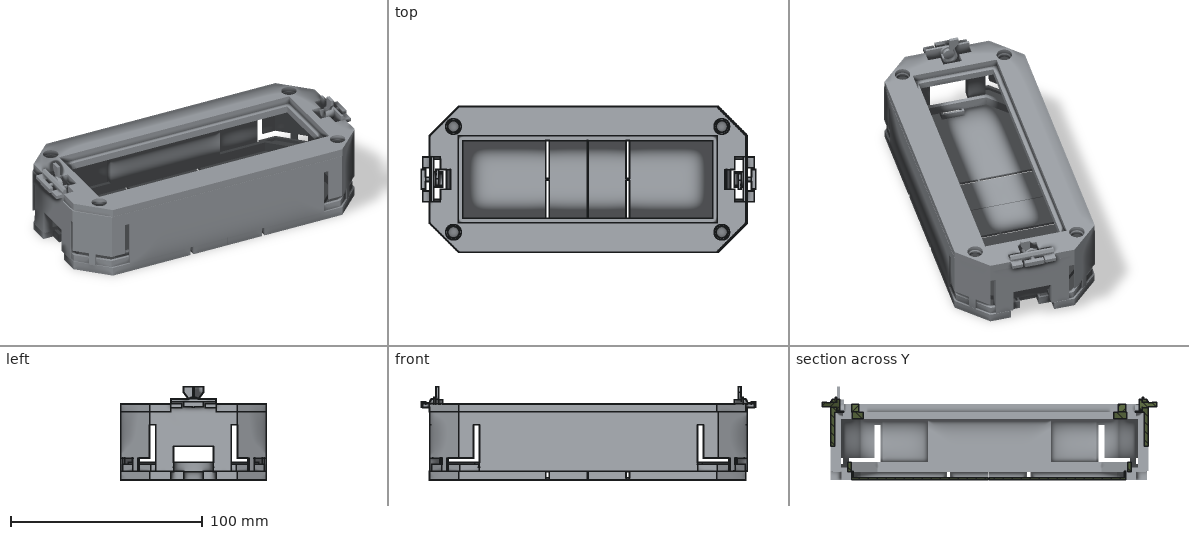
import cadquery as cq

housing_length = 165.5
housing_width = 76.0
corner_chamfer = 15.2

plate_length = 165.0
plate_width = 75.9
plate_shift = -0.44

floor_top = 1.4
rib_bottom = 4.4
skirt_top = 4.7
shoulder_top = 6.6
lip_top = 8.4
rim_top = 9.5
flap_bottom = 11.5
end_window_top = 17.6
flap_slot_top = 28.8
flange_bottom = 32.0
housing_top = 35.5
lid_top = 39.8
bracket_top = 42.4
wing_top = 48.8

wall = 1.0
lip_thickness = 1.5
rim_length = 144.0
rim_width = 63.8
rim_chamfer = 13.5
rim_thickness = 2.1
side_pad_length = 64.2
long_wall_length = 113.7
long_wall_thickness = 2.1
thick_wall_length = 111.6
end_wall_width = 39.5
end_wall_depth = 5.4
end_channel_depth = 6.5
flap_slot_long_side = 3.0
corner_leg_width = 3.7

flange_opening_length = 130.3
flange_opening_width = 40.5
lid_opening_length = 135.0
lid_opening_width = 45.4
slot_distance = 21.0
slot_width = 1.7
slot_bridge = 1.0
middle_slit = 0.3

notch_width = 23.5
notch_depth = 5.8
notch_neck_width = 10.1
notch_neck_depth = 11.0

screw_x = 70.0
screw_y = 27.5
screw_hole = 6.1
screw_head = 8.0
screw_head_depth = 2.5

bracket_thickness = 2.1
bracket_slope_depth = 0.9
bracket_slope_height = 1.4
end_window_width = 20.8
stop_width = 5.8
stop_reach = 3.7
stop_bottom = 37.9
latch_axis = 39.2
cup_outer = 8.0
cup_inner = 6.1
cup_floor = 1.0
cup_length = 4.7
cup_cut_side = 3.0

total_length = 174.5
shaft_diameter = 2.5
hub_diameter = 6.0
hub_length = 1.5
grip_width = 10.3
grip_bottom = 38.2
grip_top = 40.8
grip_thickness = 2.3
wing_inner_y = 0.3
wing_outer_y = 5.2
wing_root_y = 2.5
wing_straight_bottom = 45.9
wing_root_top = 42.0

half_length = housing_length / 2
half_width = housing_width / 2
half_end_wall = end_wall_width / 2
flap_slot_end_side = half_width - corner_chamfer - half_end_wall

bracket_inner = -half_length + bracket_thickness
cup_bottom = bracket_inner + cup_floor
cup_end = bracket_inner + cup_length


def block(x0, x1, y0, y1, z0, z1):
    """Box between two corners."""
    return cq.Workplane("XY").box(x1 - x0, y1 - y0, z1 - z0, centered=False).translate((x0, y0, z0))


def octagon(length, width, chamfer, z0, z1, shift=0.0):
    """Upright prism: a rectangle with chamfered corners."""
    prism = cq.Workplane("XY").rect(length, width).extrude(z1 - z0).edges("|Z").chamfer(chamfer)
    return prism.translate((shift, 0, z0))


def inset_octagon(length, width, chamfer, inset, z0, z1, shift=0.0):
    """The same prism with every side face moved inwards by the inset."""
    leg = chamfer - inset * (2 - 2 ** 0.5)
    return octagon(length - 2 * inset, width - 2 * inset, leg, z0, z1, shift)


def housing_prism(inset, z0, z1):
    """Prism on the housing outline, moved inwards by the inset."""
    return inset_octagon(housing_length, housing_width, corner_chamfer, inset, z0, z1)


def window(length, width, z0, z1):
    """Box for cutting openings, centred on the lid and the floor plate."""
    return block(-length / 2, length / 2, -width / 2, width / 2, z0, z1).translate((plate_shift, 0, 0))


def end_notches(z0, z1, margin=0.0):
    """T-shaped notches at both ends of a plate, widened on every side by the margin."""
    edge = plate_length / 2
    notches = cq.Workplane("XY")
    for width, depth in ((notch_width, notch_depth), (notch_neck_width, notch_neck_depth)):
        full_width = width + 2 * margin
        middle_length = 2 * (edge - depth - margin)
        bar = window(housing_length, full_width, z0, z1)
        notches = notches.add(bar.cut(window(middle_length, full_width, z0, z1)))
    return notches.combine()


def plate(z0, z1):
    """Chamfered plate with its two end notches."""
    body = octagon(plate_length, plate_width, corner_chamfer, z0, z1, plate_shift)
    return body.cut(end_notches(z0, z1))


def make_lid():
    lid = plate(housing_top, lid_top)
    lid = lid.cut(window(lid_opening_length, lid_opening_width, housing_top, lid_top))
    return (
        lid.faces(">Z").workplane(origin=(plate_shift, 0, 0))
        .rect(2 * screw_x, 2 * screw_y, forConstruction=True).vertices()
        .cboreHole(screw_hole, screw_head, screw_head_depth)
    )


def make_tray():
    """Thin floor inside a low skirt, divided by two bridged cross slots and a slit between them."""
    hollow = inset_octagon(plate_length, plate_width, corner_chamfer, wall, floor_top, skirt_top, plate_shift)
    tray = plate(0, skirt_top).cut(hollow.cut(end_notches(floor_top, skirt_top, wall)))
    for x in (-slot_distance, slot_distance):
        slot = window(slot_width, housing_width, 0, skirt_top)
        slot = slot.cut(window(slot_width, slot_bridge, 0, skirt_top))
        tray = tray.cut(slot.translate((x, 0, 0)))
    return tray.cut(window(middle_slit, housing_width, 0, skirt_top))


def make_edge_ribs():
    """Outer lip, lower shoulder and taller inner rim around the bottom of the walls."""
    shoulder = housing_prism(wall, rib_bottom, shoulder_top)
    lip = housing_prism(wall, rib_bottom, lip_top)
    lip = lip.cut(housing_prism(wall + lip_thickness, rib_bottom, lip_top))
    rim_sizes = (rim_length, rim_width, rim_chamfer)
    rim = inset_octagon(*rim_sizes, -rim_thickness, rib_bottom, rim_top)
    inside = octagon(*rim_sizes, rib_bottom, rim_top)
    between_flaps = window(long_wall_length, housing_width, rib_bottom, lip_top)
    end_windows = window(housing_length, end_window_width, rib_bottom, rim_top)
    ribs = shoulder.union(lip.cut(between_flaps)).cut(end_windows)
    return ribs.union(rim).cut(inside)


def make_corner_cutout():
    """Opening that frees the flap at the corner on the +X and +Y side, leaving a leg on its chamfer."""
    long_edge = long_wall_length / 2
    under_flap = block(long_edge, half_length, half_end_wall, half_width, skirt_top, flap_bottom)
    long_slot = block(
        long_edge, long_edge + flap_slot_long_side, half_end_wall, half_width, skirt_top, flap_slot_top
    )
    end_slot = block(
        long_edge, half_length, half_end_wall, half_end_wall + flap_slot_end_side, skirt_top, flap_slot_top
    )
    leg = (
        cq.Workplane("XY").box(2 * corner_chamfer, corner_leg_width, flap_bottom, centered=(True, True, False))
        .rotate((0, 0, 0), (0, 0, 1), 45)
        .translate((half_length - corner_chamfer / 2, half_width - corner_chamfer / 2, 0))
    )
    return under_flap.cut(leg).union(long_slot).union(end_slot)


def make_walls():
    """Thin outer wall with the four corner flaps cut free, and the top flange."""
    walls = housing_prism(0, skirt_top, housing_top).cut(housing_prism(wall, skirt_top, housing_top))
    corner = make_corner_cutout()
    left_corner = corner.mirror("YZ")
    for cutout in (corner, left_corner, corner.mirror("XZ"), left_corner.mirror("XZ")):
        walls = walls.cut(cutout)
    flange = housing_prism(0, flange_bottom, housing_top)
    flange = flange.cut(window(flange_opening_length, flange_opening_width, flange_bottom, housing_top))
    return walls.union(flange)


def make_long_walls():
    """Thickening of both long walls between the flaps, with a thicker pad in the middle of each."""
    length = thick_wall_length
    walls = block(-length / 2, length / 2, -half_width, half_width, skirt_top, flange_bottom)
    inner_width = housing_width - 2 * long_wall_thickness
    walls = walls.cut(window(housing_length, inner_width, skirt_top, flange_bottom))
    pad = side_pad_length / 2
    pads = block(-pad, pad, -half_width + wall, half_width - wall, rib_bottom, flange_bottom)
    return walls.union(pads.cut(window(housing_length, rim_width, rib_bottom, flange_bottom)))


def along_left_end(diameter, x0, x1):
    """Cylinder on the latch axis of the -X end."""
    cylinder = cq.Workplane("YZ").circle(diameter / 2).extrude(x1 - x0)
    return cylinder.translate((x0, 0, latch_axis))


def make_end_posts():
    """Thick wall of the -X end."""
    posts_inner = -half_length + end_wall_depth
    return block(-half_length, posts_inner, -half_end_wall, half_end_wall, skirt_top, housing_top)


def make_end_channel():
    """Space behind the latch bracket and the window under it, at the -X end."""
    half_window = end_window_width / 2
    neck = notch_neck_width / 2
    neck_end = -half_length + notch_neck_depth
    channel = block(
        bracket_inner, -half_length + end_channel_depth, -half_window, half_window, skirt_top, housing_top
    )
    opening = block(-half_length, bracket_inner, -half_window, half_window, skirt_top, end_window_top)
    neck_opening = block(bracket_inner, neck_end, -neck, neck, flange_bottom, housing_top)
    return channel.union(opening).union(neck_opening)


def make_bracket():
    """Latch bracket of the -X end, with two stop tabs outside and an open cup inside."""
    half_bracket = notch_width / 2
    bracket = (
        cq.Workplane("XZ").moveTo(-half_length, housing_top)
        .lineTo(-half_length, bracket_top - bracket_slope_height)
        .lineTo(-half_length + bracket_slope_depth, bracket_top)
        .lineTo(bracket_inner, bracket_top).lineTo(bracket_inner, housing_top).close()
        .extrude(half_bracket, both=True)
    )
    for y0 in (-half_bracket, half_bracket - stop_width):
        stop = block(-half_length - stop_reach, -half_length, y0, y0 + stop_width, stop_bottom, lid_top)
        bracket = bracket.union(stop)
    cup = along_left_end(cup_outer, bracket_inner, cup_end)
    cup = cup.cut(along_left_end(cup_inner, cup_bottom, cup_end))
    turning_gap = block(cup_bottom, cup_end, -cup_outer, cup_cut_side, latch_axis, wing_top)
    return bracket.union(cup.cut(turning_gap))


def make_housing():
    housing = make_tray().union(make_edge_ribs()).union(make_walls()).union(make_long_walls())
    posts = make_end_posts()
    channel = make_end_channel()
    bracket = make_bracket()
    shaft_hole = along_left_end(shaft_diameter, -half_length, cup_bottom)
    for angle in (0, 180):
        turn = ((0, 0, 0), (0, 0, 1), angle)
        housing = housing.union(posts.rotate(*turn)).cut(channel.rotate(*turn))
        housing = housing.union(bracket.rotate(*turn)).cut(shaft_hole.rotate(*turn))
    return housing


def make_knob(angle):
    """Turning latch of the -X end, rotated about Z to its own end."""
    grip_end = -total_length / 2
    grip = block(
        grip_end, grip_end + grip_thickness, -grip_width / 2, grip_width / 2, grip_bottom, grip_top
    )
    shaft = along_left_end(shaft_diameter, grip_end, cup_bottom)
    hub = along_left_end(hub_diameter, cup_bottom, cup_bottom + hub_length)
    wing = (
        cq.Workplane("YZ").moveTo(wing_inner_y, latch_axis).lineTo(wing_inner_y, wing_top)
        .lineTo(wing_outer_y, wing_top).lineTo(wing_outer_y, wing_straight_bottom)
        .lineTo(wing_root_y, wing_root_top).lineTo(wing_root_y, latch_axis).close()
        .extrude(hub_length).translate((cup_bottom, 0, 0))
    )
    knob = grip.union(shaft).union(hub).union(wing)
    return knob.rotate((0, 0, 0), (0, 0, 1), angle)


lid = make_lid()
housing = make_housing()
knobs = [make_knob(angle) for angle in (0, 180)]

result = cq.Compound.makeCompound([lid.val(), housing.val(), *[knob.val() for knob in knobs]])